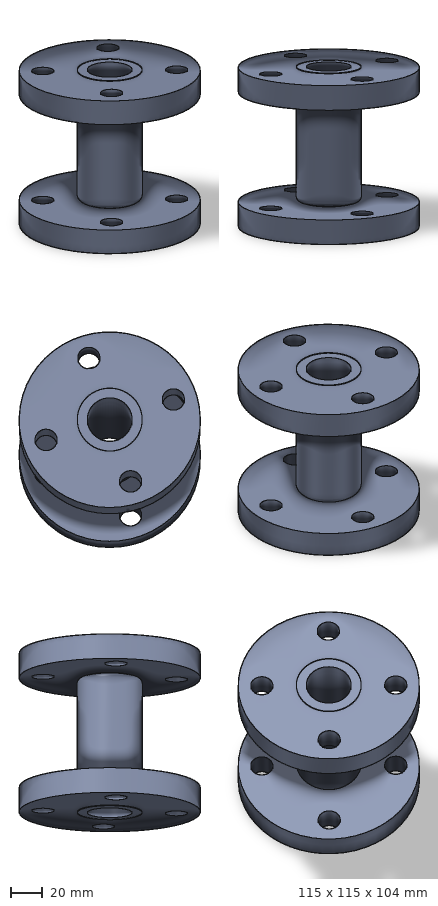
import cadquery as cq

flange_diameter = 115
overall_height = 104.0

sleeve_diameter = 41.4
sleeve_edge_radius = 3.1

neck_diameter = 33.4
neck_height = 0.5

raised_face_diameter = 41.2
raised_face_height = 0.5
bore_diameter = 28.4

flange_thickness = 16.0
bolt_hole_diameter = 14.0
bolt_circle_diameter = 85.0
bolt_count = 4
first_bolt_angle = 45

bottom_flange_base = raised_face_height
top_flange_base = overall_height - raised_face_height - flange_thickness
neck_base = bottom_flange_base + flange_thickness
sleeve_base = neck_base + neck_height
sleeve_height = overall_height - 2 * sleeve_base


def cylinder(diameter, base, height):
    """Solid cylinder on the Z axis, standing on the plane Z = base."""
    return cq.Workplane("XY").workplane(offset=base).circle(diameter / 2).extrude(height)


def flange(base):
    """Round flange with its bolt holes."""
    return (
        cylinder(flange_diameter, base, flange_thickness)
        .faces(">Z")
        .workplane()
        .polarArray(bolt_circle_diameter / 2, first_bolt_angle, 360, bolt_count)
        .hole(bolt_hole_diameter)
    )


sleeve = cylinder(sleeve_diameter, sleeve_base, sleeve_height).edges().fillet(sleeve_edge_radius)
core = cylinder(neck_diameter, neck_base, top_flange_base - neck_base)

bottom_face = cylinder(raised_face_diameter, 0, raised_face_height)
top_face = cylinder(raised_face_diameter, overall_height - raised_face_height, raised_face_height)

bore = cylinder(bore_diameter, 0, overall_height)

result = (
    sleeve.union(core)
    .union(flange(bottom_flange_base))
    .union(flange(top_flange_base))
    .union(bottom_face)
    .union(top_face)
    .cut(bore)
)